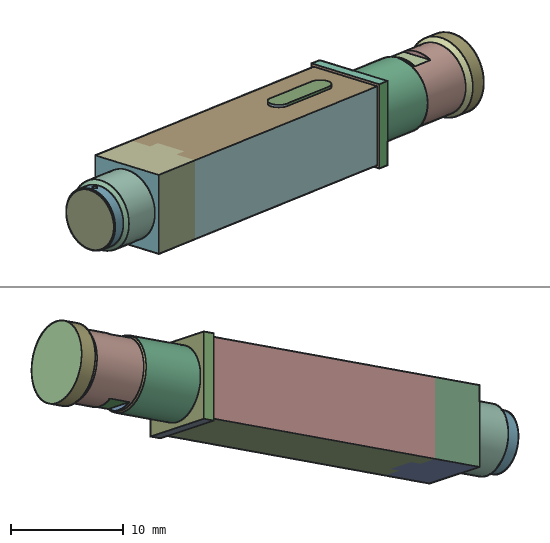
import cadquery as cq

TOTAL_LENGTH = 48.9
PLUG_START = 1.5
BODY_START = 5.0
JOINT_POSITION = 9.9
FLANGE_START = 34.5
FLANGE_THICKNESS = 1.1
FLANGE_END = FLANGE_START + FLANGE_THICKNESS
NECK_START = 41.6
RIM_LENGTH = 1.5
RIM_START = TOTAL_LENGTH - RIM_LENGTH

FLANGE_WIDTH = 8.0
BODY_WIDTH = 7.5
TIP_RADIUS = 2.9
PLUG_RADIUS = 3.3
SLEEVE_RADIUS = 3.5
NECK_RADIUS = 3.35
RIM_RADIUS = 3.75

TIP_CHAMFER = 0.1
PLUG_TAPER_LENGTH = 0.3
SLEEVE_CHAMFER = SLEEVE_RADIUS - NECK_RADIUS
RIM_TAPER_LENGTH = 0.5

TONGUE_WIDTH = 3.1
TONGUE_LENGTH = 1.05

PAD_WIDTH = 2.0
PAD_LENGTH = 7.6
PAD_CENTRE = 28.3
PAD_HEIGHT = (FLANGE_WIDTH - BODY_WIDTH) / 2

FLAT_LENGTH = 2.1
FLAT_CENTRE = 43.1
FLAT_HEIGHT = 2.95

HOLE_DIAMETER = 0.45
HOLE_DEPTH = 0.2
HOLE_POSITION = 0.65


def square_bar(width, start, end):
    """Square bar centred on the Y axis."""
    length = end - start
    return cq.Workplane("XY").box(width, length, width).translate((0, start + length / 2, 0))


def turned(profile):
    """Solid of revolution about Y from (radius, station) points, closed along the axis."""
    first_station = profile[0][1]
    last_station = profile[-1][1]
    outline = [(0, first_station)] + profile + [(0, last_station)]
    return cq.Workplane("XY").polyline(outline).close().revolve(360, (0, 0, 0), (0, 1, 0))


def make_front_end():
    """Plug with a reduced tip."""
    return turned([
        (TIP_RADIUS - TIP_CHAMFER, 0),
        (TIP_RADIUS, TIP_CHAMFER),
        (TIP_RADIUS, PLUG_START - PLUG_TAPER_LENGTH),
        (PLUG_RADIUS, PLUG_START),
        (PLUG_RADIUS, BODY_START),
    ])


def make_rear_end():
    """Sleeve, neck and end rim."""
    return turned([
        (SLEEVE_RADIUS, FLANGE_END),
        (SLEEVE_RADIUS, NECK_START),
        (NECK_RADIUS, NECK_START + SLEEVE_CHAMFER),
        (NECK_RADIUS, RIM_START - RIM_TAPER_LENGTH),
        (RIM_RADIUS, RIM_START),
        (RIM_RADIUS, TOTAL_LENGTH),
    ])


def make_body():
    """Square body of two flush pieces; the unmerged faces keep the joint line visible."""
    tongue = cq.Workplane("XY").box(TONGUE_WIDTH, TONGUE_LENGTH, BODY_WIDTH)
    tongue = tongue.translate((0, JOINT_POSITION + TONGUE_LENGTH / 2, 0))
    front_piece = square_bar(BODY_WIDTH, BODY_START, JOINT_POSITION).union(tongue)
    rear_piece = square_bar(BODY_WIDTH, JOINT_POSITION, FLANGE_START).cut(tongue)
    return front_piece.union(rear_piece, clean=False)


def make_pad():
    """Raised pad with round ends."""
    pad = cq.Workplane("XY").slot2D(PAD_LENGTH, PAD_WIDTH, 90).extrude(PAD_HEIGHT)
    return pad.translate((0, PAD_CENTRE, BODY_WIDTH / 2))


def make_flat_cutter(side):
    """Block that cuts one flat; side is +1 for the top and -1 for the bottom."""
    block = cq.Workplane("XY").box(2 * NECK_RADIUS, FLAT_LENGTH, NECK_RADIUS)
    return block.translate((0, FLAT_CENTRE, side * (FLAT_HEIGHT + NECK_RADIUS / 2)))


def make_hole_cutter():
    """Pin that cuts the index hole from the top of the tip."""
    pin = cq.Workplane("XY").circle(HOLE_DIAMETER / 2).extrude(TIP_RADIUS)
    return pin.translate((0, HOLE_POSITION, TIP_RADIUS - HOLE_DEPTH))


result = make_body()
flange = square_bar(FLANGE_WIDTH, FLANGE_START, FLANGE_END)
for piece in (flange, make_front_end(), make_rear_end(), make_pad()):
    result = result.union(piece, clean=False)
for side in (1, -1):
    result = result.cut(make_flat_cutter(side), clean=False)
result = result.cut(make_hole_cutter(), clean=False)